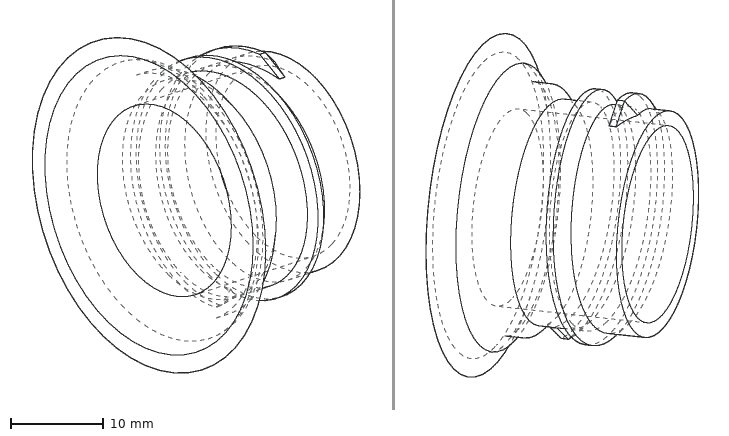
import cadquery as cq
import math

length = 19.65
rim_radius = 18.73
mouth_radius = 16.7
mouth_depth = 2.25
bore_radius = 10.75
neck_radius = 12.35
collar_radius = 13.85

rim_top = 0.97
step_edge_height = 2.32
step_height = 2.4
step_radius = 15.75
collar_bottom = 3.9
collar_top = 5.88
collar_chamfer = collar_radius - neck_radius
collar_edge_round = 0.3
edge_margin = 0.05
flare_radius = 1.5
collar_fillet = collar_bottom - step_height

pitch = 4.27
thread_turns = 1.5
thread_top = 17.65
crest_width = 0.82
lower_flank_height = 0.2
thread_overrun = 4.0
run_out = 14.4
root_embed = 0.37
tip_rise = 0.05


def flare_point(angle):
    """Point on the concave flare, at an angle down from its vertical top end."""
    return (
        step_radius + flare_radius * (1 - math.cos(angle)),
        step_edge_height - flare_radius * math.sin(angle),
    )


def make_body():
    """Revolve the wall section, from the rim to the open end of the neck."""
    flare_angle = math.asin((step_edge_height - rim_top) / flare_radius)
    flare_end = flare_point(flare_angle)
    collar_centre = collar_radius + collar_fillet
    collar_offset = collar_fillet * math.sqrt(0.5)
    collar_mid = (collar_centre - collar_offset, collar_bottom - collar_offset)
    body = (
        cq.Workplane("XY")
        .moveTo(mouth_radius, 0)
        .lineTo(rim_radius, 0)
        .lineTo(*flare_end)
        .threePointArc(flare_point(flare_angle / 2), (step_radius, step_edge_height))
        .lineTo(collar_centre, step_height)
        .threePointArc(collar_mid, (collar_radius, collar_bottom))
        .lineTo(collar_radius, collar_top)
        .lineTo(neck_radius, collar_top + collar_chamfer)
        .lineTo(neck_radius, length)
        .lineTo(bore_radius, length)
        .lineTo(bore_radius, mouth_depth)
        .close()
        .revolve(360, (0, 0, 0), (0, 1, 0))
    )
    collar_edge = cq.selectors.BoxSelector(
        (-rim_radius, collar_top - edge_margin, -rim_radius),
        (rim_radius, collar_top + edge_margin, rim_radius),
        boundingbox=True,
    )
    return body.edges(collar_edge).fillet(collar_edge_round)


def thread_wire(angle, crest_radius):
    """Thread section at an angle from +Z towards -X, in the thread frame.

    The frame's Z runs down the neck from the thread top, and its X is the part's +Z.
    The upper flank is at 45 degrees, and the crest stays level as it sinks into the neck.
    """
    root_radius = neck_radius - root_embed
    crest_start = collar_radius - neck_radius
    crest_end = crest_start + crest_width
    flank_depth = crest_radius - root_radius
    lower_flank_slope = lower_flank_height / crest_start
    section = [
        (root_radius, crest_start - flank_depth),
        (crest_radius, crest_start),
        (crest_radius, crest_end),
        (root_radius, crest_end + lower_flank_slope * flank_depth),
    ]
    turn = math.radians(angle)
    drop = pitch * angle / 360
    points = [cq.Vector(r * math.cos(turn), r * math.sin(turn), h + drop) for r, h in section]
    return cq.Wire.makePolygon(points, close=True)


def make_thread():
    """Helical ridge with a run-out at both ends, placed on the neck."""
    first = -thread_overrun
    last = 360 * thread_turns + thread_overrun
    turns = (last - first) / 360
    helix = cq.Wire.makeHelix(pitch, pitch * turns, neck_radius)
    helix = helix.rotate(cq.Vector(0, 0, 0), cq.Vector(0, 0, 1), first)
    helix = helix.translate(cq.Vector(0, 0, pitch * first / 360))
    ridge = cq.Solid.sweep(thread_wire(first, collar_radius), [], helix, isFrenet=True)
    pieces = [ridge]
    for end, tip in ((first, first - run_out), (last, last + run_out)):
        wires = [thread_wire(end, collar_radius), thread_wire(tip, neck_radius + tip_rise)]
        pieces.append(cq.Solid.makeLoft(wires, True))
    frame = cq.Plane(origin=(0, thread_top, 0), xDir=(0, 0, 1), normal=(0, -1, 0))
    return [piece.moved(cq.Location(frame)) for piece in pieces]


result = make_body()
for thread_piece in make_thread():
    result = result.union(thread_piece)